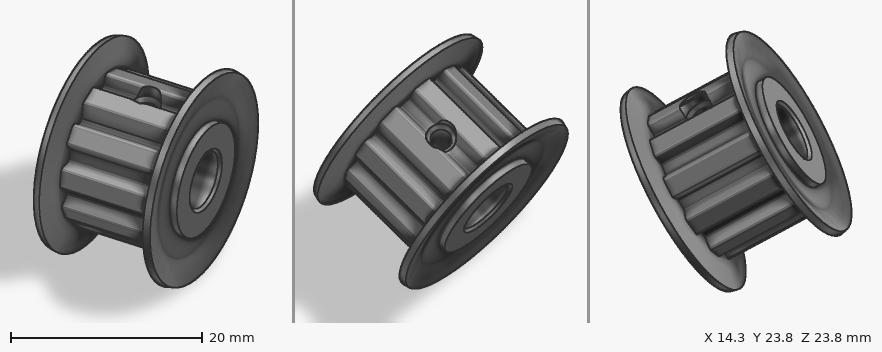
import cadquery as cq
import math


body_half_width = 5.5
tooth_count = 11
tooth_pitch_angle = 360 / tooth_count
tooth_land_radius = 8.64
groove_depth = 1.4
groove_root_radius = tooth_land_radius - groove_depth
groove_floor_half_width = 0.66
root_fillet = 0.4
tip_fillet = 0.4
flank_angle = 25
floor_corner_z = math.sqrt(groove_root_radius**2 - groove_floor_half_width**2)
groove_mouth_z = tooth_land_radius + groove_depth
groove_mouth_half_width = groove_floor_half_width + (
    (groove_mouth_z - floor_corner_z) * math.tan(math.radians(flank_angle))
)
wide_flank_angle = flank_angle + tooth_pitch_angle / 2

flange_thickness = 0.8
flange_bend_radius = 8.93
flange_outer_radius = 11.915
flange_tilt = 12.7

hub_radius = 6.3
hub_half_length = 7.15
bore_radius = 3.175
bore_chamfer = 0.33

screw_hole_radius = 1.13
screw_relief_radius = 1.6
screw_relief_floor = groove_root_radius
countersink_depth = screw_relief_radius - screw_hole_radius


def make_groove_cutter():
    """Tapered groove centred on +Z, open past the tooth tops, with rounded floor corners."""
    return (
        cq.Workplane("YZ")
        .workplane(offset=-body_half_width)
        .moveTo(-groove_mouth_half_width, groove_mouth_z)
        .lineTo(-groove_floor_half_width, floor_corner_z)
        .threePointArc((0, groove_root_radius), (groove_floor_half_width, floor_corner_z))
        .lineTo(groove_mouth_half_width, groove_mouth_z)
        .close()
        .extrude(2 * body_half_width)
        .edges("|X and <Z")
        .fillet(root_fillet)
    )


def make_half_floor_groove_cutter():
    """Groove centred on +Z whose +Y flank rises from the middle of the floor, at a sharp corner."""
    floor_middle_angle = math.asin(groove_floor_half_width / groove_root_radius) / 2
    floor_middle = (
        -groove_root_radius * math.sin(floor_middle_angle),
        groove_root_radius * math.cos(floor_middle_angle),
    )
    wide_flank_run = (groove_mouth_z - groove_root_radius) * math.tan(math.radians(wide_flank_angle))
    return (
        cq.Workplane("YZ")
        .workplane(offset=-body_half_width)
        .moveTo(-groove_mouth_half_width, groove_mouth_z)
        .lineTo(-groove_floor_half_width, floor_corner_z)
        .threePointArc(floor_middle, (0, groove_root_radius))
        .lineTo(wide_flank_run, groove_mouth_z)
        .close()
        .extrude(2 * body_half_width)
        .edges("|X and <Z")
        .fillet(root_fillet)
    )


def turned(shape, steps):
    """Shape turned about the pulley axis by whole tooth pitches, from +Z towards -Y."""
    return shape.rotate((0, 0, 0), (1, 0, 0), steps * tooth_pitch_angle)


def make_toothed_body():
    """Prism with one flat side per tooth, grooved at each of its corners."""
    corner_radius = tooth_land_radius / math.cos(math.pi / tooth_count)
    corner_angles = [math.radians(90 + i * tooth_pitch_angle) for i in range(tooth_count)]
    corners = [(corner_radius * math.cos(a), corner_radius * math.sin(a)) for a in corner_angles]
    body = (
        cq.Workplane("YZ")
        .workplane(offset=-body_half_width)
        .polyline(corners)
        .close()
        .extrude(2 * body_half_width)
    )

    half_floor_groove = make_half_floor_groove_cutter()
    body = body.cut(turned(half_floor_groove, 1))
    body = body.cut(turned(half_floor_groove.mirror("XZ"), -1))
    groove = make_groove_cutter()
    for steps in [0, *range(2, tooth_count - 1)]:
        body = body.cut(turned(groove, steps))

    mid_depth_radius = tooth_land_radius - groove_depth / 2
    tip_edges = body.edges("|X").filter(
        lambda edge: math.hypot(edge.Center().y, edge.Center().z) > mid_depth_radius
    )
    return tip_edges.fillet(tip_fillet)


def make_flange():
    """Flange on the +X end: flat centre, rim tilted away from the belt."""
    tilt = math.radians(flange_tilt)
    outer_face_x = body_half_width + flange_thickness
    inner_rim_x = body_half_width + (flange_outer_radius - flange_bend_radius) * math.tan(tilt)
    outer_rim_x = inner_rim_x + flange_thickness * math.cos(tilt)
    outer_rim_radius = flange_outer_radius - flange_thickness * math.sin(tilt)
    outer_bend_radius = outer_rim_radius - (outer_rim_x - outer_face_x) / math.tan(tilt)
    return (
        cq.Workplane("XY")
        .moveTo(body_half_width, 0)
        .lineTo(body_half_width, flange_bend_radius)
        .lineTo(inner_rim_x, flange_outer_radius)
        .lineTo(outer_rim_x, outer_rim_radius)
        .lineTo(outer_face_x, outer_bend_radius)
        .lineTo(outer_face_x, 0)
        .close()
        .revolve(360, (0, 0, 0), (1, 0, 0))
    )


def make_bore_cutter():
    """Through bore, opened by a chamfer at both ends."""
    mouth_radius = bore_radius + bore_chamfer
    chamfer_start = hub_half_length - bore_chamfer
    return (
        cq.Workplane("XY")
        .moveTo(-hub_half_length, 0)
        .lineTo(-hub_half_length, mouth_radius)
        .lineTo(-chamfer_start, bore_radius)
        .lineTo(chamfer_start, bore_radius)
        .lineTo(hub_half_length, mouth_radius)
        .lineTo(hub_half_length, 0)
        .close()
        .revolve(360, (0, 0, 0), (1, 0, 0))
    )


def make_screw_hole_cutter():
    """Hole from the axis out along +Z, countersunk at the groove floor, clear of the teeth above."""
    return (
        cq.Workplane("XZ")
        .lineTo(screw_hole_radius, 0)
        .lineTo(screw_hole_radius, screw_relief_floor - countersink_depth)
        .lineTo(screw_relief_radius, screw_relief_floor)
        .lineTo(screw_relief_radius, tooth_land_radius)
        .lineTo(0, tooth_land_radius)
        .close()
        .revolve(360, (0, 0, 0), (0, 1, 0))
    )


flange = make_flange()
hub = cq.Workplane("YZ").workplane(offset=-hub_half_length).circle(hub_radius).extrude(2 * hub_half_length)
pulley = make_toothed_body().union(hub).union(flange).union(flange.mirror("YZ"))

screw_hole = make_screw_hole_cutter()
pulley = pulley.cut(make_bore_cutter())
pulley = pulley.cut(screw_hole)
pulley = pulley.cut(screw_hole.rotate((0, 0, 0), (1, 0, 0), -90))

result = pulley